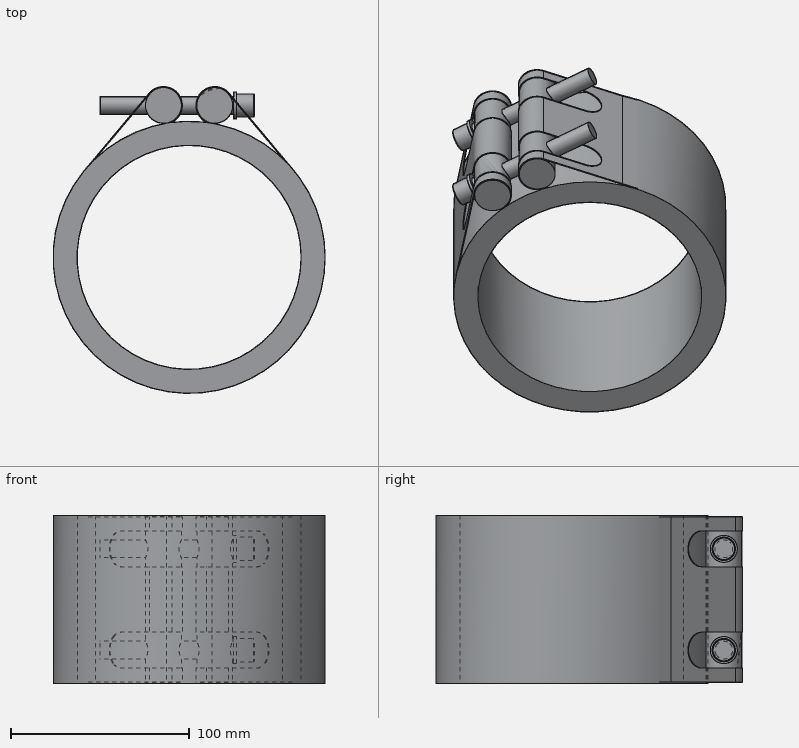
import cadquery as cq
import math

ring_diameter = 152.0
bore_diameter = 125.0
ring_height = 94.0
ring_radius = ring_diameter / 2
overall_depth = 171.5

pin_diameter = 20.0
pin_height = 92.9
pin_radius = pin_diameter / 2
strap_thickness = 0.5
strap_height = 92.2
loop_radius = pin_radius + strap_thickness
pin_y = overall_depth - ring_radius - loop_radius
pin_distance = ring_radius + pin_radius
pin_x = math.sqrt(pin_distance**2 - pin_y**2)

bolt_diameter = 10.0
bolt_spacing = 56.5
bolt_start_x = -49.7
washer_diameter = 15.0
washer_thickness = 1.7
head_diameter = 13.0
head_length = 10.0
head_chamfer = 0.5

slot_width = 20.0
slot_end_y = 65.1
slot_radius = slot_width / 2


def polar(center, radius, angle):
    """Point at a given radius and angle from a center."""
    return (center[0] + radius * math.cos(angle), center[1] + radius * math.sin(angle))


ring_center = (0, 0)
pin_center = (-pin_x, pin_y)
pin_direction = math.atan2(pin_y, -pin_x)
tangent = pin_direction + math.acos((ring_radius - loop_radius) / pin_distance)


def make_strap():
    """Left strap: tangent to the ring, then wrapped over the pin down to the ring."""
    contact = pin_direction - math.pi
    middle = (tangent + contact) / 2
    profile = (
        cq.Workplane("XY", origin=(0, 0, -strap_height / 2))
        .moveTo(*polar(ring_center, ring_radius, tangent))
        .lineTo(*polar(pin_center, loop_radius, tangent))
        .threePointArc(polar(pin_center, loop_radius, middle), polar(pin_center, loop_radius, contact))
        .lineTo(*polar(pin_center, pin_radius, contact))
        .threePointArc(polar(pin_center, pin_radius, middle), polar(pin_center, pin_radius, tangent))
        .lineTo(*polar(ring_center, ring_radius - strap_thickness, tangent))
        .close()
    )
    return profile.extrude(strap_height)


def make_slot_cutter(z):
    """Slot square to the left strap, rounded toward the ring and open past the end of the loop."""
    tangent_x, tangent_y = polar(ring_center, ring_radius, tangent)
    along_x = math.sin(tangent)
    along_y = -math.cos(tangent)
    strap_plane = cq.Plane(
        origin=(tangent_x, tangent_y, z),
        xDir=(along_x, along_y, 0),
        normal=(math.cos(tangent), math.sin(tangent), 0),
    )
    slot_end = (slot_end_y - tangent_y) / along_y
    arc_center = slot_end + slot_radius
    slot_open_end = pin_distance
    return (
        cq.Workplane(strap_plane)
        .moveTo(slot_open_end, -slot_radius)
        .lineTo(arc_center, -slot_radius)
        .threePointArc((slot_end, 0), (arc_center, slot_radius))
        .lineTo(slot_open_end, slot_radius)
        .close()
        .extrude(ring_radius, both=True)
    )


def cylinder_along_x(diameter, start_x, length, z):
    """Cylinder on a bolt axis."""
    return cq.Workplane("YZ", origin=(start_x, pin_y, z)).circle(diameter / 2).extrude(length)


def make_bolt(z):
    """Bolt with a washer against the right-hand loop and a chamfered round head."""
    washer_x = pin_x + loop_radius
    head_x = washer_x + washer_thickness
    shank = cylinder_along_x(bolt_diameter, bolt_start_x, head_x - bolt_start_x, z)
    washer = cylinder_along_x(washer_diameter, washer_x, washer_thickness, z)
    head = cylinder_along_x(head_diameter, head_x, head_length, z).faces(">X").chamfer(head_chamfer)
    return shank.union(washer).union(head)


bolt_heights = (-bolt_spacing / 2, bolt_spacing / 2)

left_strap = make_strap()
for bolt_z in bolt_heights:
    left_strap = left_strap.cut(make_slot_cutter(bolt_z))
straps = left_strap.union(left_strap.mirror("YZ"))

pins = (
    cq.Workplane("XY", origin=(0, 0, -pin_height / 2))
    .pushPoints([(-pin_x, pin_y), (pin_x, pin_y)])
    .circle(pin_radius)
    .extrude(pin_height)
)

ring = (
    cq.Workplane("XY", origin=(0, 0, -ring_height / 2))
    .circle(ring_radius)
    .circle(bore_diameter / 2)
    .extrude(ring_height)
)
result = ring.union(straps).union(pins)
for bolt_z in bolt_heights:
    result = result.union(make_bolt(bolt_z))